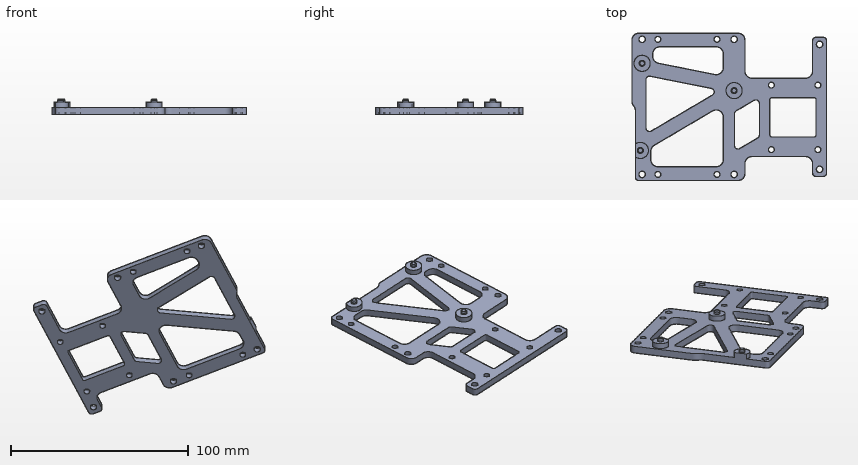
import cadquery as cq
import math

length = 109.6
width = 83.0
thickness = 4.1
block_right = 63.7
bridge_bottom = 13.5
bridge_top = 57.7
bar_left = 101.6
bar_bottom = 2.3
bar_top = width - bar_bottom
step_depth = 2.0
step_middle_y = 42.0
large_radius = 4.0
small_radius = 2.0
step_radius = 4.3

block_window_right = 51.4
upper_window_left = 11.8
upper_window_top = 75.2
middle_window_left = 8.0
lower_window_left = 10.7
lower_window_bottom = 7.9
slanted_window_left = 57.8
slanted_window_right = 71.7
square_window_left = 77.7
square_window_right = 103.6
square_window_height = 21.9
square_window_radius = 1.0

falling_slope = -math.tan(math.radians(11.3))
rising_slope = math.tan(math.radians(30.5))
upper_window_edge = 69.1
middle_window_upper_edge = 60.7
middle_window_lower_edge = 21.5
lower_window_edge = 12.4
slanted_window_upper_edge = 4.6
slanted_window_lower_edge = -17.6

large_hole_diameter = 3.5
small_hole_diameter = 3.2
block_hole_inset = 3.5
block_large_hole_xs = (5.8, 57.5)
block_small_hole_xs = (14.7, 47.9)
bar_hole_x = (bar_left + length) / 2
bar_hole_inset = 4.1
bridge_hole_xs = (78.5, 104.7)
bridge_hole_inset = 4.0

boss_diameter = 9.1
boss_height = 3.0
pin_diameter = 3.4
pin_height = 1.8
pin_chamfer_height = 0.8
pin_chamfer_width = 0.4
boss_centers = ((5.8, 66.0), (57.5, 50.6), (4.8, 17.0))


def falling_point(x, height):
    """Point at x on the falling line of the given height at x = 0."""
    return (x, height + falling_slope * x)


def rising_point(x, height):
    """Point at x on the rising line of the given height at x = 0."""
    return (x, height + rising_slope * x)


def prism(points, radius):
    """Plate-thick prism with every vertical edge rounded."""
    return cq.Workplane("XY").polyline(points).close().extrude(thickness).edges("|Z").fillet(radius)


def round_corners(body, corners, radius):
    """Fillet the vertical edge standing at each (x, y) corner."""
    for corner in corners:
        body = body.edges("|Z").edges(cq.selectors.NearestToPointSelector((*corner, 0))).fillet(radius)
    return body


def make_setback_cutter(height):
    """Setback strip along the lower left edge, run out with two tangent arcs."""
    arc_angle = math.acos(1 - step_depth / 2 / step_radius)
    arc_rise = step_radius * math.sin(arc_angle)
    half_rise = step_radius * math.sin(arc_angle / 2)
    half_depth = step_radius * (1 - math.cos(arc_angle / 2))
    arc_bottom = step_middle_y - arc_rise
    arc_top = step_middle_y + arc_rise
    return (
        cq.Workplane("XY")
        .moveTo(0, 0)
        .lineTo(step_depth, 0)
        .lineTo(step_depth, arc_bottom)
        .threePointArc((step_depth - half_depth, arc_bottom + half_rise), (step_depth / 2, step_middle_y))
        .threePointArc((half_depth, arc_top - half_rise), (0, arc_top))
        .close()
        .extrude(height)
    )


def make_plate(height):
    """Block, bridge and end bar as one solid outline of the given height, corners rounded."""
    plate = (
        cq.Workplane("XY")
        .moveTo(0, 0)
        .lineTo(block_right, 0)
        .lineTo(block_right, bridge_bottom)
        .lineTo(bar_left, bridge_bottom)
        .lineTo(bar_left, bar_bottom)
        .lineTo(length, bar_bottom)
        .lineTo(length, bar_top)
        .lineTo(bar_left, bar_top)
        .lineTo(bar_left, bridge_top)
        .lineTo(block_right, bridge_top)
        .lineTo(block_right, width)
        .lineTo(0, width)
        .close()
        .extrude(height)
    )
    plate = plate.cut(make_setback_cutter(height))

    large_corners = [(0, width)]
    large_corners += [(block_right, y) for y in (0, bridge_bottom, bridge_top, width)]
    large_corners += [(bar_left, y) for y in (bridge_bottom, bridge_top)]
    small_corners = [(x, y) for x in (bar_left, length) for y in (bar_bottom, bar_top)]
    small_corners += [(step_depth, 0)]
    plate = round_corners(plate, large_corners, large_radius)
    return round_corners(plate, small_corners, small_radius)


def make_windows():
    """Three windows around the block's arms and two in the bridge."""
    upper = prism(
        [
            (upper_window_left, upper_window_top),
            (block_window_right, upper_window_top),
            falling_point(block_window_right, upper_window_edge),
            falling_point(upper_window_left, upper_window_edge),
        ],
        large_radius,
    )
    apex_x = (middle_window_upper_edge - middle_window_lower_edge) / (rising_slope - falling_slope)
    middle = prism(
        [
            falling_point(middle_window_left, middle_window_upper_edge),
            falling_point(apex_x, middle_window_upper_edge),
            rising_point(middle_window_left, middle_window_lower_edge),
        ],
        small_radius,
    )
    lower = prism(
        [
            (lower_window_left, lower_window_bottom),
            (block_window_right, lower_window_bottom),
            rising_point(block_window_right, lower_window_edge),
            rising_point(lower_window_left, lower_window_edge),
        ],
        large_radius,
    )
    slanted = prism(
        [
            rising_point(slanted_window_left, slanted_window_lower_edge),
            rising_point(slanted_window_right, slanted_window_lower_edge),
            rising_point(slanted_window_right, slanted_window_upper_edge),
            rising_point(slanted_window_left, slanted_window_upper_edge),
        ],
        small_radius,
    )
    bridge_middle_y = (bridge_bottom + bridge_top) / 2
    square_bottom = bridge_middle_y - square_window_height / 2
    square_top = bridge_middle_y + square_window_height / 2
    square = prism(
        [
            (square_window_left, square_bottom),
            (square_window_right, square_bottom),
            (square_window_right, square_top),
            (square_window_left, square_top),
        ],
        square_window_radius,
    )
    return [upper, middle, lower, slanted, square]


def make_holes(centers, diameter):
    """Cylinders through the plate at the given centers."""
    return cq.Workplane("XY").pushPoints(centers).circle(diameter / 2).extrude(thickness)


def make_boss(center):
    """Round boss with a pin, cut flush wherever it would overhang the plate outline."""
    boss_radius = boss_diameter / 2
    pin_radius = pin_diameter / 2
    boss_top = thickness + boss_height
    pin_top = boss_top + pin_height
    boss = (
        cq.Workplane("XZ")
        .moveTo(0, thickness)
        .lineTo(-boss_radius, thickness)
        .lineTo(-boss_radius, boss_top)
        .lineTo(-pin_radius, boss_top)
        .lineTo(-pin_radius, pin_top - pin_chamfer_height)
        .lineTo(pin_chamfer_width - pin_radius, pin_top)
        .lineTo(0, pin_top)
        .close()
        .revolve(360, (0, 0, 0), (0, 1, 0))
        .translate((*center, 0))
    )
    return boss.intersect(make_plate(pin_top))


block_hole_ys = (block_hole_inset, width - block_hole_inset)
bar_hole_ys = (bar_bottom + bar_hole_inset, bar_top - bar_hole_inset)
bridge_hole_ys = (bridge_bottom + bridge_hole_inset, bridge_top - bridge_hole_inset)

large_holes = [(x, y) for x in block_large_hole_xs for y in block_hole_ys]
large_holes += [(bar_hole_x, y) for y in bar_hole_ys]
small_holes = [(x, y) for x in block_small_hole_xs for y in block_hole_ys]
small_holes += [(x, y) for x in bridge_hole_xs for y in bridge_hole_ys]

result = make_plate(thickness)
for window in make_windows():
    result = result.cut(window)
result = result.cut(make_holes(large_holes, large_hole_diameter))
result = result.cut(make_holes(small_holes, small_hole_diameter))
for boss_center in boss_centers:
    result = result.union(make_boss(boss_center))